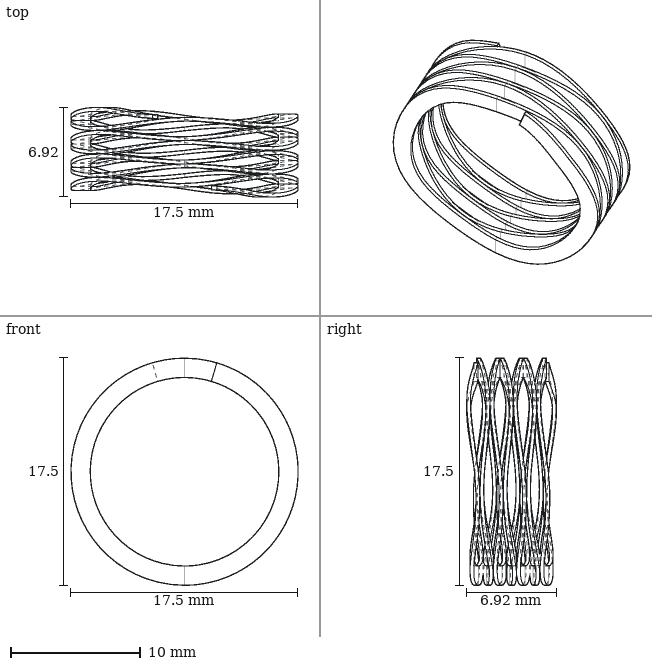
import cadquery as cq
import math


outer_radius = 8.75
inner_radius = 7.25
strip_thickness = 0.3
pitch = 0.898
wave_amplitude = 0.294
waves_per_turn = 3.5

seam_angle = 180.0
full_half_turns = 6
tip_overrun = 163.5
coil_half_angle = full_half_turns * seam_angle + tip_overrun

wave_angle = 360.0 / waves_per_turn
outermost_wave = 11
peak_fraction = 0.75
tip_start_angle = (outermost_wave + peak_fraction) * wave_angle
tip_curl = 0.57
tip_phase = 162.0

points_per_section = 60


def waved_offset(angle):
    """Axial position of the regular waved coil."""
    wave = math.sin(math.radians(waves_per_turn * angle))
    return pitch * angle / 360.0 - wave_amplitude * wave


def tip_offset(angle):
    """Axial position along the curled tip, easing away from the outermost peak."""
    progress = (angle - tip_start_angle) / (coil_half_angle - tip_start_angle)
    eased = 1.0 - math.cos(math.radians(tip_phase * progress))
    full_sweep = 1.0 - math.cos(math.radians(tip_phase))
    return waved_offset(tip_start_angle) - tip_curl * eased / full_sweep


def strip_offset(angle):
    """Axial position of the strip's middle; the two halves are point-symmetric."""
    distance = abs(angle)
    if distance > tip_start_angle:
        offset = tip_offset(distance)
    else:
        offset = waved_offset(distance)
    return offset if angle > 0 else -offset


def strip_edge(radius, axial_shift, start, end):
    """One corner edge of the strip between two coil angles."""
    points = []
    for i in range(points_per_section + 1):
        angle = start + (end - start) * i / points_per_section
        turn = math.radians(angle)
        x = -radius * math.sin(turn)
        y = strip_offset(angle) + axial_shift
        z = -radius * math.cos(turn)
        points.append(cq.Vector(x, y, z))
    return cq.Edge.makeSpline(points)


def section_edges(start, end):
    """The four corner edges of a strip section, in order round its rectangle."""
    half = strip_thickness / 2
    corners = [
        (inner_radius, -half),
        (outer_radius, -half),
        (outer_radius, half),
        (inner_radius, half),
    ]
    return [strip_edge(radius, shift, start, end) for radius, shift in corners]


def side_faces(edges):
    """The four long faces joining neighbouring corner edges."""
    return [cq.Face.makeRuledSurface(edges[i - 1], edges[i]) for i in range(len(edges))]


def end_face(corners):
    """The flat rectangle closing one end of the strip."""
    return cq.Face.makeFromWires(cq.Wire.makePolygon(corners, close=True))


def wave_spring():
    seams = [k * seam_angle for k in range(-full_half_turns, full_half_turns + 1)]
    breaks = [-coil_half_angle] + seams + [coil_half_angle]
    sections = [section_edges(a, b) for a, b in zip(breaks, breaks[1:])]

    faces = [face for edges in sections for face in side_faces(edges)]
    faces.append(end_face([edge.startPoint() for edge in sections[0]]))
    faces.append(end_face([edge.endPoint() for edge in sections[-1]]))
    return cq.Solid.makeSolid(cq.Shell.makeShell(faces))


result = cq.Workplane("XY").newObject([wave_spring()])